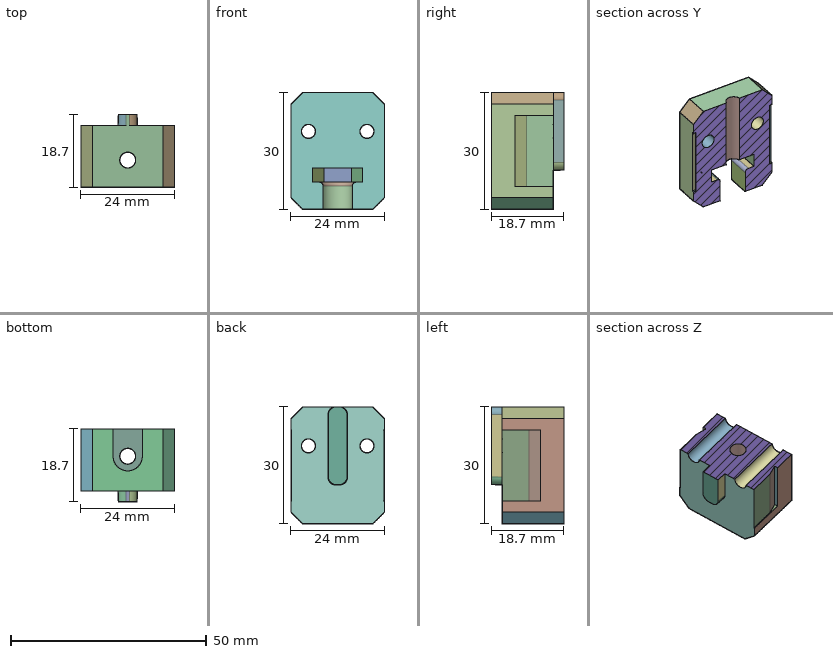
import cadquery as cq
import math

body_width = 24.0
body_depth = 15.9
body_height = 30.0
body_chamfer = 3.0

mount_hole_diameter = 3.5
mount_hole_spacing = 15.0
mount_hole_drop = 10.0

bolt_axis_y = 7.0
bolt_hole_diameter = 4.0
shank_width = 7.5
shelf_height = 7.0
shelf_rounding = 1.0
pocket_width = 12.8
hexagon_side = 7.08
pocket_height = 3.6

latch_height = 18.18
latch_depth = 0.15
latch_length = 6.85
ramp_length = 3.0
ramp_depth = 0.9

key_width = 5.0
key_height = 20.0
key_length = 2.8
key_draft = 0.1
key_corner_radius = 2.0


def make_body():
    return (
        cq.Workplane("XY")
        .box(body_width, body_depth, body_height, centered=(True, False, False))
        .edges("|Y")
        .chamfer(body_chamfer)
    )


def key_section(inset):
    """Rounded rectangle drawn in at its sides and bottom, with its top edge at y = 0."""
    width = key_width - 2 * inset
    height = key_height - inset
    return (
        cq.Sketch()
        .push([(0, -height / 2)])
        .rect(width, height)
        .reset()
        .vertices()
        .fillet(key_corner_radius)
    )


def make_key():
    tip_offset = cq.Location(cq.Vector(0, 0, key_length))
    back_face_top = cq.Plane(origin=(0, body_depth, body_height), xDir=(-1, 0, 0), normal=(0, 1, 0))
    return (
        cq.Workplane(back_face_top)
        .placeSketch(key_section(0), key_section(key_draft).moved(tip_offset))
        .loft()
    )


def make_mount_holes():
    return (
        cq.Workplane("XZ")
        .pushPoints([(side * mount_hole_spacing / 2, body_height - mount_hole_drop) for side in (-1, 1)])
        .circle(mount_hole_diameter / 2)
        .extrude(-body_depth)
    )


def make_bolt_hole():
    return cq.Workplane("XY").center(0, bolt_axis_y).circle(bolt_hole_diameter / 2).extrude(body_height)


def make_shank_slot():
    """Slot with a round back end."""
    radius = shank_width / 2
    return (
        cq.Workplane("XY")
        .moveTo(-radius, 0)
        .lineTo(-radius, bolt_axis_y)
        .threePointArc((0, bolt_axis_y + radius), (radius, bolt_axis_y))
        .lineTo(radius, 0)
        .close()
        .extrude(shelf_height)
    )


def make_head_pocket():
    """Back half of a regular hexagon run out to the front face between parallel walls."""
    half_width = pocket_width / 2
    half_side = hexagon_side / 2
    back_y = bolt_axis_y + half_side * math.sqrt(3)
    corner_y = back_y - (half_width - half_side) * math.sqrt(3)
    return (
        cq.Workplane("XY", origin=(0, 0, shelf_height))
        .polyline([
            (-half_width, 0),
            (-half_width, corner_y),
            (-half_side, back_y),
            (half_side, back_y),
            (half_width, corner_y),
            (half_width, 0),
        ])
        .close()
        .extrude(pocket_height)
    )


def make_latch_recess():
    """Recess in the left side: a shallow floor, then a ramp deepening towards the front."""
    outer_x = -body_width / 2
    floor_x = outer_x + latch_depth
    ramp_start_y = body_depth - latch_length
    ramp_end_y = ramp_start_y - ramp_length
    return (
        cq.Workplane("XY", origin=(0, 0, (body_height - latch_height) / 2))
        .polyline([
            (outer_x, body_depth),
            (floor_x, body_depth),
            (floor_x, ramp_start_y),
            (outer_x + ramp_depth, ramp_end_y),
            (outer_x, ramp_end_y),
        ])
        .close()
        .extrude(latch_height)
    )


def round_shelf_edge(part):
    """Round the rim where the shank slot opens into the head pocket."""
    selection_margin = 0.3
    reach = shank_width / 2 + selection_margin
    rim = cq.selectors.BoxSelector(
        (-reach, 0, shelf_height - selection_margin),
        (reach, bolt_axis_y + reach, shelf_height + selection_margin),
    )
    return part.edges(rim).fillet(shelf_rounding)


seated_body = round_shelf_edge(make_body().cut(make_shank_slot()).cut(make_head_pocket()))
latch_recess = make_latch_recess()

result = (
    seated_body
    .cut(make_bolt_hole())
    .cut(make_mount_holes())
    .cut(latch_recess)
    .cut(latch_recess.mirror("YZ"))
    .union(make_key())
)